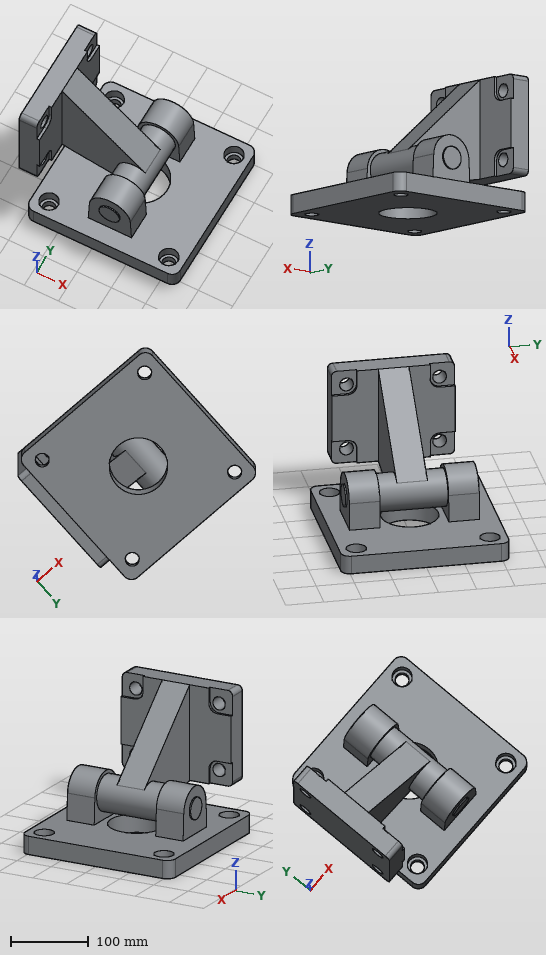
import cadquery as cq
import math


base_size = 220.0
base_thickness = 25.0
base_corner_radius = 12.0
base_hole_spacing = 175.0
window_diameter = 75.0
counterbore_diameter = 26.0
counterbore_depth = 15.0

bolt_hole_diameter = 18.0

pivot_height = 60.0
pin_diameter = 30.0
pin_length = 174.0
hub_diameter = 50.0
lug_gap = 90.0
lug_outer_span = 170.0
lug_thickness = (lug_outer_span - lug_gap) / 2
lug_top_radius = 30.0
lug_foot_width = 63.2

total_height = 185.0
plate_width = 161.5
plate_height = 130.0
plate_thickness = 30.0
plate_corner_radius = 7.0
plate_front_x = base_size / 2 - 245
plate_back_x = plate_front_x + plate_thickness
plate_bottom_z = total_height - plate_height
plate_center_z = total_height - plate_height / 2
plate_hole_inset = 19.8
relief_radius = 13.0
relief_depth = 4.0
rib_thickness = 40.2


def y_cylinder(diameter, length):
    """Cylinder on the pivot axis, centred on the XZ plane."""
    return (
        cq.Workplane("XZ", origin=(0, length / 2, pivot_height))
        .circle(diameter / 2)
        .extrude(length)
    )


def tangent_point(x, z, radius, side):
    """Point where a line from (x, z) touches a circle of this radius on the pivot axis.

    side is +1 or -1: the contact point turns counterclockwise or clockwise
    from the direction that leads from the pivot to (x, z).
    """
    rise = z - pivot_height
    angle = math.atan2(rise, x) + side * math.acos(radius / math.hypot(x, rise))
    return radius * math.cos(angle), pivot_height + radius * math.sin(angle)


def make_lug(start_y):
    """Upright lug with tapered sides running tangent into its round top."""
    foot_x = lug_foot_width / 2
    shoulder_x, shoulder_z = tangent_point(foot_x, base_thickness, lug_top_radius, 1)
    return (
        cq.Workplane("XZ", origin=(0, start_y, 0))
        .moveTo(-foot_x, base_thickness)
        .lineTo(foot_x, base_thickness)
        .lineTo(shoulder_x, shoulder_z)
        .threePointArc((0, pivot_height + lug_top_radius), (-shoulder_x, shoulder_z))
        .close()
        .extrude(-lug_thickness)
    )


def make_base():
    """Base plate with counterbored holes, a central window and two bored lugs."""
    base = (
        cq.Workplane("XY")
        .rect(base_size, base_size)
        .extrude(base_thickness)
        .edges("|Z")
        .fillet(base_corner_radius)
        .faces(">Z")
        .workplane()
        .rect(base_hole_spacing, base_hole_spacing, forConstruction=True)
        .vertices()
        .cboreHole(bolt_hole_diameter, counterbore_diameter, counterbore_depth)
    )
    base = base.faces(">Z").workplane().hole(window_diameter)
    for start_y in (-lug_outer_span / 2, lug_gap / 2):
        base = base.union(make_lug(start_y))
    return base.cut(y_cylinder(pin_diameter, pin_length))


def make_corner_relief(y_side, z_side):
    """Shallow recess at one back corner of the arm plate, rounded around the bolt hole."""
    reach = plate_hole_inset + relief_radius
    corner_y = y_side * plate_width / 2
    corner_z = plate_center_z + z_side * plate_height / 2
    return (
        cq.Workplane("YZ", origin=(plate_back_x - relief_depth, corner_y, corner_z))
        .rect(2 * reach, 2 * reach)
        .extrude(relief_depth)
        .edges("|X")
        .fillet(relief_radius)
    )


def make_arm_plate():
    """Upright plate with four through holes and recessed back corners."""
    hole_pitch_y = plate_width - 2 * plate_hole_inset
    hole_pitch_z = plate_height - 2 * plate_hole_inset
    plate = (
        cq.Workplane("YZ", origin=(plate_front_x, 0, plate_center_z))
        .rect(plate_width, plate_height)
        .extrude(plate_thickness)
        .edges("|X")
        .fillet(plate_corner_radius)
    )
    holes = (
        cq.Workplane("YZ", origin=(plate_front_x, 0, plate_center_z))
        .rect(hole_pitch_y, hole_pitch_z, forConstruction=True)
        .vertices()
        .circle(bolt_hole_diameter / 2)
        .extrude(plate_thickness)
    )
    plate = plate.cut(holes)
    for y_side in (-1, 1):
        for z_side in (-1, 1):
            plate = plate.cut(make_corner_relief(y_side, z_side))
    return plate


def make_rib():
    """Tapered web from the arm plate, tangent to the top and bottom of the hub."""
    hub_radius = hub_diameter / 2
    return (
        cq.Workplane("XZ", origin=(0, rib_thickness / 2, 0))
        .moveTo(plate_back_x, plate_bottom_z)
        .lineTo(*tangent_point(plate_back_x, plate_bottom_z, hub_radius, 1))
        .lineTo(0, pivot_height)
        .lineTo(*tangent_point(plate_back_x, total_height, hub_radius, -1))
        .lineTo(plate_back_x, total_height)
        .close()
        .extrude(rib_thickness)
    )


def make_arm():
    """Tilting arm: plate, rib, hub and the pin ends that turn in the lugs."""
    hub = y_cylinder(hub_diameter, lug_gap)
    pin = y_cylinder(pin_diameter, pin_length)
    return make_arm_plate().union(make_rib()).union(hub).union(pin)


base = make_base()
arm = make_arm()

result = cq.Compound.makeCompound([base.val(), arm.val()])